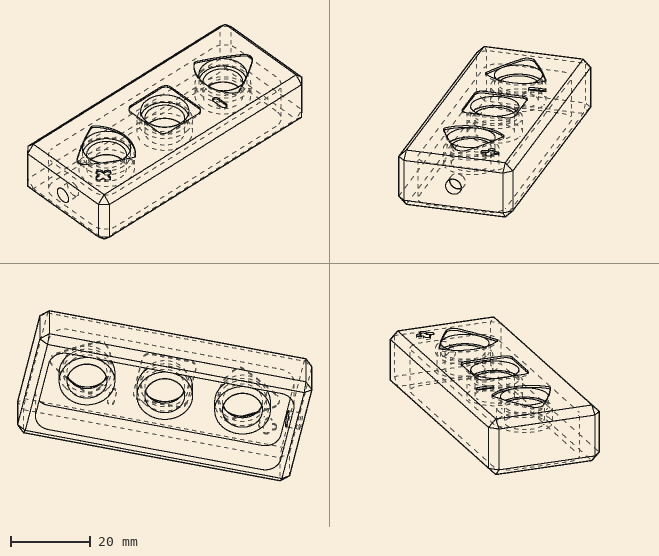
import cadquery as cq

width = 30.0
length = 70.0
height = 15.0
edge_chamfer = 2.0

wall = 3.5
cavity_corner_radius = 4.0
cavity_height = height - wall

hole_pitch = 20.0
hole_diameter = 10.0
counterbore_diameter = 12.1
boss_diameter = 14.0
counterbore_floor = 12.0
boss_bottom = height / 2

recess_depth = 0.5
recess_floor = height - recess_depth
square_corner_radius = 1.85
square_side = 13.8

trigon_side_radius = 65.0
trigon_base_radius = 10.7
trigon_side_angle = 120.0
trigon_tip_radius = 2.0
trigon_corner_radius = 1.0

mark_length = 4.6
mark_width = 1.65
mark_x = width / 4
mark_offset_y = -8.1

side_hole_diameter = 4.1
side_hole_height = height / 2


def make_block():
    block = cq.Workplane("XY").box(width, length, height, centered=(True, True, False))
    return block.edges().chamfer(edge_chamfer)


def make_cavity():
    cavity = cq.Workplane("XY").rect(width - 2 * wall, length - 2 * wall).extrude(cavity_height)
    return cavity.edges("|Z").fillet(cavity_corner_radius)


def make_boss(y):
    boss = cq.Workplane("XY", origin=(0, y, boss_bottom)).circle(boss_diameter / 2)
    return boss.extrude(cavity_height - boss_bottom)


def make_stepped_hole(y):
    bore = cq.Workplane("XY", origin=(0, y, 0)).circle(hole_diameter / 2).extrude(height)
    counterbore = cq.Workplane("XY", origin=(0, y, counterbore_floor)).circle(counterbore_diameter / 2)
    return bore.union(counterbore.extrude(height - counterbore_floor))


def make_square_recess():
    recess = cq.Workplane("XY", origin=(0, 0, recess_floor)).rect(square_side, square_side)
    return recess.extrude(recess_depth).edges("|Z").fillet(square_corner_radius)


def make_touching_disc(radius, angle):
    """Disc around the counterbore circle that touches it at its lowest point, turned by angle."""
    center_y = radius - counterbore_diameter / 2
    disc = cq.Workplane("XY").center(0, center_y).circle(radius).extrude(recess_depth)
    return disc.rotate((0, 0, 0), (0, 0, 1), angle)


def make_trigon_recess(y, point_angle):
    """Rounded triangle with a bowed base; its point faces +Y before it is turned by point_angle."""
    recess = make_touching_disc(trigon_base_radius, 0)
    for side_angle in (-trigon_side_angle, trigon_side_angle):
        recess = recess.intersect(make_touching_disc(trigon_side_radius, side_angle))
    recess = recess.edges("|Z and >Y").fillet(trigon_tip_radius)
    recess = recess.edges("|Z and (<X or >X)").fillet(trigon_corner_radius)
    return recess.rotate((0, 0, 0), (0, 0, 1), point_angle).translate((0, y, recess_floor))


def make_mark(y, angle):
    mark = cq.Workplane("XY", origin=(mark_x, y, recess_floor))
    return mark.slot2D(mark_length, mark_width, angle).extrude(recess_depth)


def make_side_hole():
    hole = cq.Workplane("XZ", origin=(0, -length / 2, side_hole_height))
    return hole.circle(side_hole_diameter / 2).extrude(-wall)


result = make_block().cut(make_cavity())

hole_positions = (-hole_pitch, 0, hole_pitch)
for hole_y in hole_positions:
    result = result.union(make_boss(hole_y))
for hole_y in hole_positions:
    result = result.cut(make_stepped_hole(hole_y))

result = result.cut(make_square_recess())
for trigon_y, point_angle in ((-hole_pitch, 180), (hole_pitch, 0)):
    result = result.cut(make_trigon_recess(trigon_y, point_angle))
    result = result.cut(make_mark(trigon_y + mark_offset_y, 0))

result = result.cut(make_mark(-hole_pitch + mark_offset_y, 90))
result = result.cut(make_side_hole())